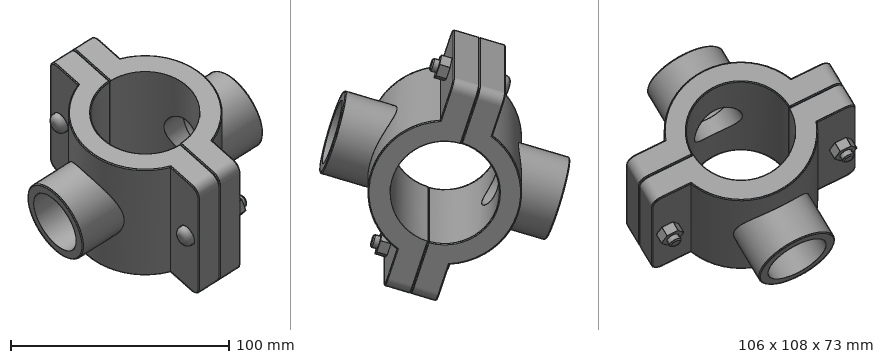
import cadquery as cq

overall_width = 106.0
overall_length = 108.0
overall_height = 73.0

bore_diameter = 50.0
shell_diameter = 70.4
flange_half_thickness = 12.5
flange_corner_radius = 5.2
edge_chamfer = 0.5

port_diameter = 39.4
port_rim_chamfer = 0.5
socket_diameter = 30.2
socket_depth = 20.8
passage_diameter = 25.0

bolt_offset = 45.0
bolt_diameter = 6.0
bolt_tip_y = 20.7
bolt_tip_chamfer = 0.6
head_diameter = 10.0
head_rim_height = 1.0
head_height = 4.0
nut_corner_diameter = 11.6
nut_thickness = 5.0

port_end_y = overall_length / 2
socket_floor_y = port_end_y - socket_depth
FRONT, REAR = -1, 1


def z_cylinder(diameter):
    """Full-height cylinder on the Z axis."""
    return cq.Workplane("XY").circle(diameter / 2).extrude(overall_height / 2, both=True)


def y_cylinder(diameter, start_y, end_y, x=0):
    """Cylinder parallel to Y between two Y positions, at height zero."""
    plane = cq.Plane(origin=(x, start_y, 0), xDir=(1, 0, 0), normal=(0, 1, 0))
    return cq.Workplane(plane).circle(diameter / 2).extrude(end_y - start_y)


def y_slab(thickness, side):
    """Full width and height block reaching from the split plane to one side."""
    return (
        cq.Workplane("XY")
        .box(overall_width, thickness, overall_height)
        .translate((0, side * thickness / 2, 0))
    )


def half_blank(side):
    """Half cylinder and flange pair on one side of the split plane, without the bore."""
    flanges = y_slab(flange_half_thickness, side).edges("|Y").fillet(flange_corner_radius)
    half_cylinder = z_cylinder(shell_diameter).intersect(y_slab(port_end_y, side))
    return flanges.union(half_cylinder)


def front_half():
    """Front clamp half, whose bore rim is chamfered along with its outer edges."""
    blank = half_blank(FRONT).cut(z_cylinder(bore_diameter))
    return blank.faces("<Z or >Z or >Y").chamfer(edge_chamfer)


def rear_half():
    """Rear clamp half, whose bore is cut after the chamfer and so keeps a sharp rim."""
    blank = half_blank(REAR).faces("<Z or >Z or <Y").chamfer(edge_chamfer)
    return blank.cut(z_cylinder(bore_diameter))


def port_tube(side):
    """Solid port tube on one side, rooted inside the shell wall at the bore's outermost point."""
    tube = y_cylinder(port_diameter, side * bore_diameter / 2, side * port_end_y)
    return tube.faces("<Y" if side == FRONT else ">Y").chamfer(port_rim_chamfer)


def port_holes():
    """Through passage with a wider blind socket at each end."""
    holes = y_cylinder(passage_diameter, -port_end_y, port_end_y)
    for side in (FRONT, REAR):
        holes = holes.union(y_cylinder(socket_diameter, side * socket_floor_y, side * port_end_y))
    return holes


def make_housing():
    """Clamp halves joined at the split plane, with ports and bolt holes."""
    housing = front_half().union(rear_half()).union(port_tube(FRONT)).union(port_tube(REAR))
    housing = housing.cut(port_holes())
    for x in (-bolt_offset, bolt_offset):
        bolt_hole = y_cylinder(bolt_diameter, -flange_half_thickness, flange_half_thickness, x)
        housing = housing.cut(bolt_hole)
    return housing


def make_bolt(x):
    """Button-head bolt pointing to +Y, in one piece with its nut."""
    head_radius = head_diameter / 2
    head_round = head_height - head_rim_height
    head_top_radius = head_radius - head_round
    shank_radius = bolt_diameter / 2
    seat_y = -flange_half_thickness
    rim_y = seat_y - head_rim_height
    head_top_y = seat_y - head_height
    screw = (
        cq.Workplane("XY")
        .moveTo(0, head_top_y)
        .lineTo(head_top_radius, head_top_y)
        .radiusArc((head_radius, rim_y), -head_round)
        .lineTo(head_radius, seat_y)
        .lineTo(shank_radius, seat_y)
        .lineTo(shank_radius, bolt_tip_y - bolt_tip_chamfer)
        .lineTo(shank_radius - bolt_tip_chamfer, bolt_tip_y)
        .lineTo(0, bolt_tip_y)
        .close()
        .revolve(360, (0, 0, 0), (0, 1, 0))
    )
    nut_plane = cq.Plane(origin=(0, flange_half_thickness, 0), xDir=(1, 0, 0), normal=(0, 1, 0))
    nut = cq.Workplane(nut_plane).polygon(6, nut_corner_diameter).extrude(nut_thickness)
    return screw.union(nut).translate((x, 0, 0))


housing = make_housing()
bolts = [make_bolt(x) for x in (-bolt_offset, bolt_offset)]

result = cq.Compound.makeCompound([housing.solids().val(), *[bolt.solids().val() for bolt in bolts]])